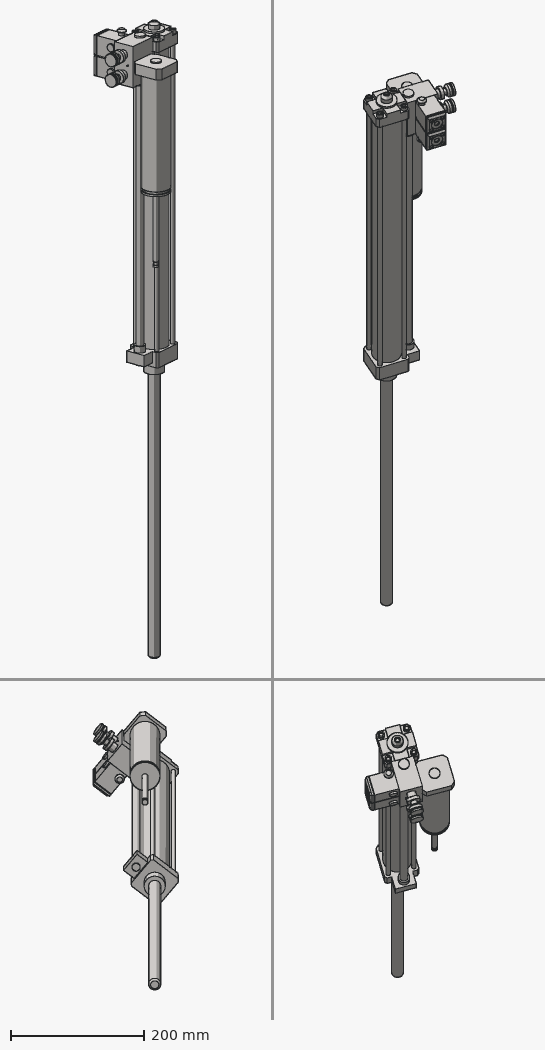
import cadquery as cq


ROD_D = 18.0
ROD_END_CHAMFER = 3.0

CAP_SIDE = 53.0
CAP_FACE_Y = -CAP_SIDE / 2
CAP_BACK_Y = 28.0
CAP_FACE_CHAMFER = 3.0
CAP_BACK_CHAMFER = 4.0
GLAND_D = 32.0
GLAND_Z = 460.0
FRONT_CAP_Z = 478.0
FRONT_CAP_TOP_Z = 503.0
REAR_CAP_Z = 985.0
REAR_CAP_TOP_Z = 1008.0
BARREL_D = 45.0
TIE_ROD_D = 7.0
TIE_ROD_PITCH = 40.0
TIE_ROD_OFFSET = TIE_ROD_PITCH / 2
BOLT_POCKET_SIDE = 15.0
BOLT_POCKET_DEPTH = 6.0
BOLT_HEAD_D = 10.0
BOLT_SOCKET_D = 6.0
BOLT_SOCKET_DEPTH = 3.0
REAR_BOSS_D = GLAND_D
REAR_BOSS_HEIGHT = 3.0
SENSOR_D = 17.0
SENSOR_TOP_Z = 1022.0
SENSOR_CHAMFER = 4.0
SENSOR_SOCKET_D = 6.0
SENSOR_SOCKET_DEPTH = 3.0

PORT_BLOCK_WIDTH = 33.0
PORT_BLOCK_DEPTH = 20.0
PORT_BLOCK_Z = 484.0
PORT_PLUG_D = 12.0
PORT_PLUG_HEIGHT = 3.0

TUBE_D = 12.0
TUBE_Y = -36.0
COLLAR_D = 17.0
COLLAR_HEIGHT = 10.0

BLOCK_WIDTH = 35.0
BLOCK_FRONT_Y = -77.0
BLOCK_Z = 942.0
BLOCK_TOP_Z = 1009.0
BLOCK_MID_Z = (BLOCK_Z + BLOCK_TOP_Z) / 2
BLOCK_PLUG_D = 16.0
BLOCK_PLUG_HEIGHT = 3.0
PORT_PITCH = 33.0
PORT_MID_Z = 976.0
SILENCER_HEIGHTS = [PORT_MID_Z + side * PORT_PITCH / 2 for side in (-1, 1)]
STUD_D = 2.0
STUD_HEIGHT = 2.0
STUD_OFFSET = 8.0

COIL_SIDE = 32.0
COIL_GAP = 2.0
COIL_END_X = -62.0
COIL_Y = -55.0
COIL_CHAMFER = 3.0
COIL_LENGTH = -BLOCK_WIDTH / 2 - COIL_END_X
COIL_GROOVE_X = -56.0
COIL_GROOVE = 1.0
COIL_NUT_D = 18.0
COIL_PIN_D = 8.0
COIL_NUT_DEPTH = 1.0
COIL_PIN_DEPTH = 3.0
COIL_SCREW_D = 6.0
COIL_SCREW_OFFSET = 9.0
COIL_SCREW_DEPTH = 2.0

OVERRIDE_X = -27.0
OVERRIDE_Y = -46.0
OVERRIDE_STEM_D = 10.0
OVERRIDE_STEM_HEIGHT = 5.0
OVERRIDE_HEAD_D = 14.0
OVERRIDE_HEAD_HEIGHT = 4.0
OVERRIDE_CHAMFER = 3.0
COIL_BOSS_D = 12.0
COIL_BOSS_HEIGHT = 3.0
COIL_BOSS_PITCH = 40.0

SILENCER_BODY_D = 14.0
SILENCER_FLANGE_D = 20.0
SILENCER_NECK_D = 10.0
SILENCER_END_Y = -109.0
SILENCER_FLANGE_Y = -86.0
SILENCER_NECK_Y = -91.0
SILENCER_KNOB_Y = -97.0
SILENCER_KNOB_CHAMFER = 3.0
SILENCER_GROOVE_D = 18.0
SILENCER_GROOVE_Y = -104.0
SILENCER_GROOVE_WIDTH = 2.0

HEAD_SIDE = 51.0
HEAD_X = BLOCK_WIDTH / 2 + HEAD_SIDE / 2
HEAD_Y = -53.0
HEAD_Z = 966.0
HEAD_TOP_Z = 983.0
HEAD_CHAMFER = 6.0
HEAD_BOSS_D = 16.0
HEAD_BOSS_HEIGHT = 2.0
BOWL_D = 45.0
BOWL_Z = 775.0
BOWL_GROOVE_D = 41.0
BOWL_GROOVE_Z = 778.0
BOWL_GROOVE_HEIGHT = 4.0
DRAIN_D = 9.0
DRAIN_Z = 654.0
DRAIN_GROOVE_D = 7.0
DRAIN_GROOVE_Z = 657.0
DRAIN_GROOVE_HEIGHT = 5.0


def upright(diameter, z_low, z_high, x=0, y=0):
    """Cylinder parallel to Z between two heights."""
    return cq.Workplane("XY", origin=(x, y, z_low)).circle(diameter / 2).extrude(z_high - z_low)


def forward(diameter, y_back, y_front, x, z):
    """Cylinder parallel to Y that runs from y_back toward -Y."""
    return cq.Workplane("XZ", origin=(x, y_back, z)).circle(diameter / 2).extrude(y_back - y_front)


def block(x_range, y_range, z_range):
    """Box between the given limits on each axis."""
    sizes = [high - low for low, high in (x_range, y_range, z_range)]
    corner = (x_range[0], y_range[0], z_range[0])
    return cq.Workplane("XY").box(*sizes, centered=False).translate(corner)


def corner_points(offset):
    return [(x * offset, y * offset) for x in (-1, 1) for y in (-1, 1)]


def end_cap(z_low, z_high):
    half = CAP_SIDE / 2
    cap = block((-half, half), (CAP_FACE_Y, CAP_BACK_Y), (z_low, z_high))
    cap = cap.faces("<Y").edges("|Z").chamfer(CAP_FACE_CHAMFER)
    return cap.faces(">Y").edges("|Z").chamfer(CAP_BACK_CHAMFER)


def make_piston_rod():
    rod = upright(ROD_D, 0, FRONT_CAP_TOP_Z)
    return rod.faces("<Z").chamfer(ROD_END_CHAMFER)


def make_port_block():
    port_block = block(
        (-PORT_BLOCK_WIDTH / 2, PORT_BLOCK_WIDTH / 2),
        (CAP_FACE_Y - PORT_BLOCK_DEPTH, CAP_FACE_Y),
        (PORT_BLOCK_Z, FRONT_CAP_TOP_Z),
    )
    plug = upright(PORT_PLUG_D, PORT_BLOCK_Z - PORT_PLUG_HEIGHT, PORT_BLOCK_Z, y=TUBE_Y)
    return port_block.union(plug)


def make_rear_cap():
    cap = end_cap(REAR_CAP_Z, REAR_CAP_TOP_Z)
    pocket_floor = REAR_CAP_TOP_Z - BOLT_POCKET_DEPTH
    pockets = (
        cq.Workplane("XY", origin=(0, 0, pocket_floor))
        .pushPoints(corner_points(CAP_SIDE / 2))
        .rect(2 * BOLT_POCKET_SIDE, 2 * BOLT_POCKET_SIDE)
        .extrude(BOLT_POCKET_DEPTH)
    )
    cap = cap.cut(pockets)
    for x, y in corner_points(TIE_ROD_OFFSET):
        head = upright(BOLT_HEAD_D, pocket_floor, REAR_CAP_TOP_Z, x, y)
        socket = upright(BOLT_SOCKET_D, REAR_CAP_TOP_Z - BOLT_SOCKET_DEPTH, REAR_CAP_TOP_Z, x, y)
        cap = cap.union(head.cut(socket))
    boss_top = REAR_CAP_TOP_Z + REAR_BOSS_HEIGHT
    boss = upright(REAR_BOSS_D, REAR_CAP_TOP_Z, boss_top)
    sensor = upright(SENSOR_D, boss_top, SENSOR_TOP_Z).faces(">Z").chamfer(SENSOR_CHAMFER)
    sensor = sensor.cut(upright(SENSOR_SOCKET_D, SENSOR_TOP_Z - SENSOR_SOCKET_DEPTH, SENSOR_TOP_Z))
    return cap.union(boss).union(sensor)


def make_cylinder(piston_rod):
    cylinder = end_cap(FRONT_CAP_Z, FRONT_CAP_TOP_Z)
    cylinder = cylinder.union(upright(GLAND_D, GLAND_Z, FRONT_CAP_Z))
    cylinder = cylinder.union(make_port_block())
    cylinder = cylinder.union(upright(BARREL_D, FRONT_CAP_TOP_Z, REAR_CAP_Z))
    for x, y in corner_points(TIE_ROD_OFFSET):
        cylinder = cylinder.union(upright(TIE_ROD_D, FRONT_CAP_TOP_Z, REAR_CAP_Z, x, y))
    return cylinder.union(make_rear_cap()).cut(piston_rod)


def make_air_tube():
    tube = upright(TUBE_D, FRONT_CAP_TOP_Z, BLOCK_Z, y=TUBE_Y)
    lower = upright(COLLAR_D, FRONT_CAP_TOP_Z, FRONT_CAP_TOP_Z + COLLAR_HEIGHT, y=TUBE_Y)
    upper = upright(COLLAR_D, BLOCK_Z - COLLAR_HEIGHT, BLOCK_Z, y=TUBE_Y)
    return tube.union(lower).union(upper)


def make_coil(z_center):
    center = (COIL_END_X + COIL_LENGTH / 2, COIL_Y, z_center)
    coil = cq.Workplane("XY").box(COIL_LENGTH, COIL_SIDE, COIL_SIDE).translate(center)
    coil = coil.faces("<X").chamfer(COIL_CHAMFER)
    groove = (
        cq.Workplane("YZ", origin=(COIL_GROOVE_X, COIL_Y, z_center))
        .rect(COIL_SIDE, COIL_SIDE)
        .rect(COIL_SIDE - 2 * COIL_GROOVE, COIL_SIDE - 2 * COIL_GROOVE)
        .extrude(COIL_GROOVE)
    )
    end_face = cq.Workplane("YZ", origin=(COIL_END_X, COIL_Y, z_center))
    nut_recess = end_face.circle(COIL_NUT_D / 2).extrude(COIL_NUT_DEPTH)
    pin_hole = end_face.circle(COIL_PIN_D / 2).extrude(COIL_PIN_DEPTH)
    screw_points = corner_points(COIL_SCREW_OFFSET)
    screw_holes = end_face.pushPoints(screw_points).circle(COIL_SCREW_D / 2).extrude(COIL_SCREW_DEPTH)
    return coil.cut(groove).cut(nut_recess).cut(pin_hole).cut(screw_holes)


def make_override():
    """Manual override knob that stands on the top of the upper coil."""
    stem_top = BLOCK_TOP_Z + OVERRIDE_STEM_HEIGHT
    head_top = stem_top + OVERRIDE_HEAD_HEIGHT
    stem = upright(OVERRIDE_STEM_D, BLOCK_MID_Z + COIL_SIDE / 2, stem_top, OVERRIDE_X, OVERRIDE_Y)
    head = upright(OVERRIDE_HEAD_D, stem_top, head_top, OVERRIDE_X, OVERRIDE_Y)
    return stem.union(head.faces(">Z").chamfer(OVERRIDE_CHAMFER))


def make_valve_block():
    half = BLOCK_WIDTH / 2
    valve = block((-half, half), (BLOCK_FRONT_Y, CAP_FACE_Y), (BLOCK_Z, BLOCK_TOP_Z))
    valve = valve.union(upright(BLOCK_PLUG_D, BLOCK_TOP_Z, BLOCK_TOP_Z + BLOCK_PLUG_HEIGHT, y=TUBE_Y))
    override = make_override()
    valve = valve.union(override)
    valve = valve.union(override.mirror("XY", (0, 0, BLOCK_MID_Z)))
    coil_front_y = COIL_Y - COIL_SIDE / 2
    for side in (-1, 1):
        valve = valve.union(make_coil(BLOCK_MID_Z + side * (COIL_SIDE + COIL_GAP) / 2))
        boss_z = BLOCK_MID_Z + side * COIL_BOSS_PITCH / 2
        boss = forward(COIL_BOSS_D, coil_front_y, coil_front_y - COIL_BOSS_HEIGHT, OVERRIDE_X, boss_z)
        stud_end_y = BLOCK_FRONT_Y - STUD_HEIGHT
        stud = forward(STUD_D, BLOCK_FRONT_Y, stud_end_y, side * STUD_OFFSET, PORT_MID_Z)
        valve = valve.union(boss).union(stud)
    return valve


def make_silencer(z):
    body = forward(SILENCER_BODY_D, BLOCK_FRONT_Y, SILENCER_FLANGE_Y, 0, z)
    flange = forward(SILENCER_FLANGE_D, SILENCER_FLANGE_Y, SILENCER_NECK_Y, 0, z)
    neck = forward(SILENCER_NECK_D, SILENCER_NECK_Y, SILENCER_KNOB_Y, 0, z)
    knob = forward(SILENCER_FLANGE_D, SILENCER_KNOB_Y, SILENCER_END_Y, 0, z)
    knob = knob.faces(">Y").chamfer(SILENCER_KNOB_CHAMFER)
    groove_end_y = SILENCER_GROOVE_Y - SILENCER_GROOVE_WIDTH
    groove = forward(SILENCER_FLANGE_D, SILENCER_GROOVE_Y, groove_end_y, 0, z)
    groove = groove.cut(forward(SILENCER_GROOVE_D, SILENCER_GROOVE_Y, groove_end_y, 0, z))
    return body.union(flange).union(neck).union(knob.cut(groove))


def reservoir_groove(outer_d, inner_d, z_low, height):
    """Ring on the reservoir axis, to be cut as a groove."""
    axis = cq.Workplane("XY", origin=(HEAD_X, HEAD_Y, z_low))
    return axis.circle(outer_d / 2).circle(inner_d / 2).extrude(height)


def make_drain():
    drain = upright(DRAIN_D, DRAIN_Z, BOWL_Z, HEAD_X, HEAD_Y)
    groove = reservoir_groove(DRAIN_D, DRAIN_GROOVE_D, DRAIN_GROOVE_Z, DRAIN_GROOVE_HEIGHT)
    return drain.cut(groove)


def make_reservoir():
    half = HEAD_SIDE / 2
    head = block((HEAD_X - half, HEAD_X + half), (HEAD_Y - half, HEAD_Y + half), (HEAD_Z, HEAD_TOP_Z))
    head = head.edges("|Z").chamfer(HEAD_CHAMFER)
    boss = upright(HEAD_BOSS_D, HEAD_TOP_Z, HEAD_TOP_Z + HEAD_BOSS_HEIGHT, HEAD_X, HEAD_Y)
    bowl = upright(BOWL_D, BOWL_Z, HEAD_Z, HEAD_X, HEAD_Y)
    groove = reservoir_groove(BOWL_D, BOWL_GROOVE_D, BOWL_GROOVE_Z, BOWL_GROOVE_HEIGHT)
    return head.union(boss).union(bowl.cut(groove)).union(make_drain())


piston_rod = make_piston_rod()
cylinder = make_cylinder(piston_rod)
air_tube = make_air_tube()
valve_block = make_valve_block()
silencers = [make_silencer(z) for z in SILENCER_HEIGHTS]
reservoir = make_reservoir()

result = cq.Compound.makeCompound(
    [
        piston_rod.val(),
        cylinder.val(),
        air_tube.val(),
        valve_block.val(),
        *[silencer.val() for silencer in silencers],
        reservoir.val(),
    ]
)